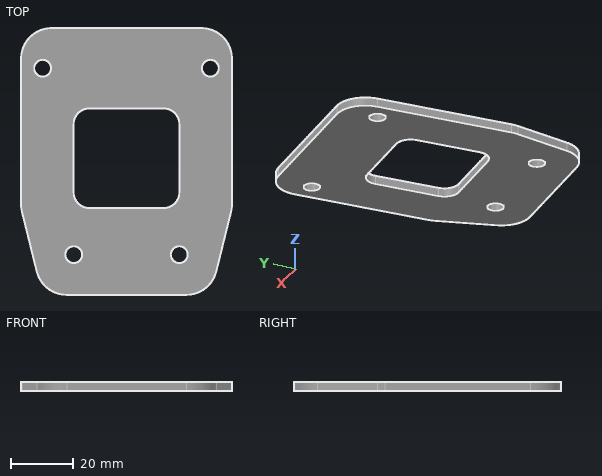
import cadquery as cq

width = 68.0
length = 86.0
thickness = 3.0
corner_radius = 10.0

taper_inset = 7.0
taper_length = 28.0

hole_diameter = 5.3
hole_edge_distance = 13.0
upper_hole_spacing = 54.0
lower_hole_spacing = 34.0

window_width = 34.0
window_length = 32.0
window_radius = 5.0

half_width = width / 2
half_length = length / 2
bottom_half_width = half_width - taper_inset
bend_y = taper_length - half_length


def make_plate():
    """Plate with tapered lower end and every outline corner rounded."""
    outline = [
        (-half_width, half_length),
        (half_width, half_length),
        (half_width, bend_y),
        (bottom_half_width, -half_length),
        (-bottom_half_width, -half_length),
        (-half_width, bend_y),
    ]
    plate = cq.Workplane("XY").polyline(outline).close().extrude(thickness)
    return plate.edges("|Z").fillet(corner_radius)


def make_window():
    """Rounded rectangular cutter for the central opening."""
    window_center_y = bend_y + window_length / 2
    window = cq.Workplane("XY").center(0, window_center_y).rect(window_width, window_length)
    return window.extrude(thickness).edges("|Z").fillet(window_radius)


def make_holes():
    """Cutters for the upper and lower pairs of mounting holes."""
    hole_y = half_length - hole_edge_distance
    centers = []
    for spacing, y in [(upper_hole_spacing, hole_y), (lower_hole_spacing, -hole_y)]:
        for side in (-1, 1):
            centers.append((side * spacing / 2, y))
    return cq.Workplane("XY").pushPoints(centers).circle(hole_diameter / 2).extrude(thickness)


result = make_plate().cut(make_window()).cut(make_holes())